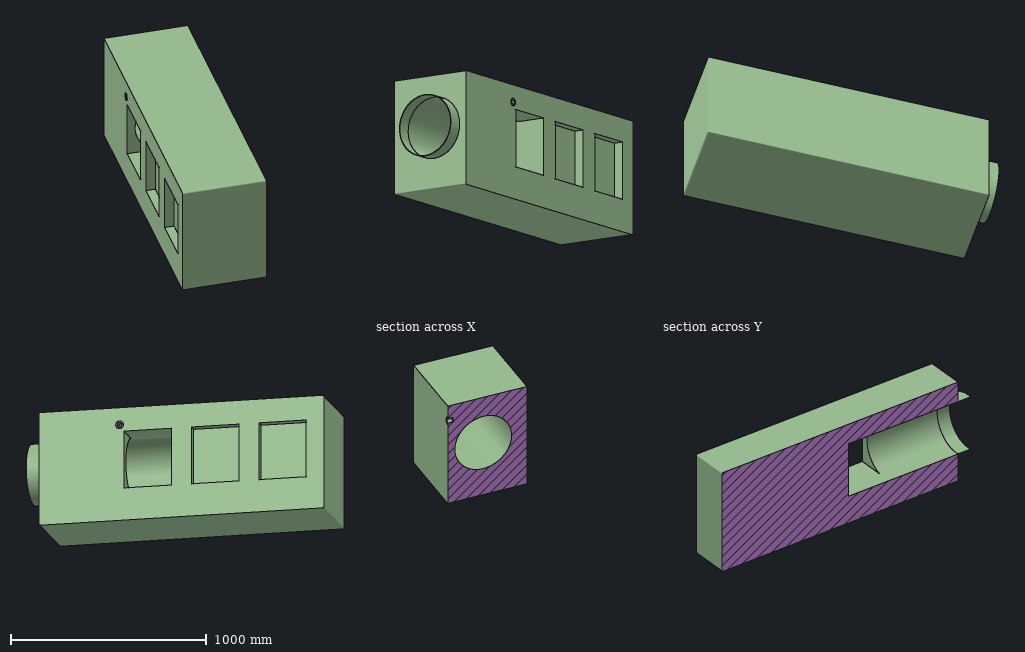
import cadquery as cq

case_length = 1500.0
case_depth = 448.0
case_height = 596.5
end_edge_radius = 8.0
case_edge_radius = 5.0

spigot_length = 78.0
duct_outer_diameter = 320.0
duct_wall = 2.0
duct_y = 200.0
duct_z = 320.0

window_width = 250.0
window_height = 300.0
window_pitch = 355.0
first_window_x = 447.0
pocket_count = 2
pocket_depth = 50.0

port_x = 424.0
port_z = 505.0
port_diameter = 40.0
port_recess_depth = 1.0
port_bore_diameter = 23.0
port_bore_depth = 30.0

bore_diameter = duct_outer_diameter - 2 * duct_wall
bore_end_x = first_window_x + window_width


def make_case():
    """Box with the front bottom-left corner at the origin."""
    box = cq.Workplane("XY").box(case_length, case_depth, case_height, centered=False)
    box = box.edges(">X and |Y").fillet(end_edge_radius)
    back_edges = box.faces(">Y").edges()
    duct_end_edges = box.faces("<X").edges("|Y")
    return back_edges.add(duct_end_edges).fillet(case_edge_radius)


def x_cylinder(diameter, start_x, end_x):
    """Cylinder on the duct axis between two X positions."""
    return (
        cq.Workplane("YZ", origin=(start_x, duct_y, duct_z))
        .circle(diameter / 2)
        .extrude(end_x - start_x)
    )


def front_opening(left_x, depth):
    """Rectangular cutter, level with the duct, going back from the front face."""
    cutter = cq.Workplane("XY").box(window_width, depth, window_height, centered=(False, False, True))
    return cutter.translate((left_x, 0, duct_z))


def port_cutter(diameter, depth):
    """Round cutter for the stepped hole, going back from the front face."""
    return cq.Workplane("XZ", origin=(port_x, 0, port_z)).circle(diameter / 2).extrude(-depth)


result = make_case()
result = result.union(x_cylinder(duct_outer_diameter, -spigot_length, 0))
result = result.cut(x_cylinder(bore_diameter, -spigot_length, bore_end_x))

result = result.cut(front_opening(first_window_x, duct_y))
for index in range(1, pocket_count + 1):
    result = result.cut(front_opening(first_window_x + index * window_pitch, pocket_depth))

result = result.cut(port_cutter(port_diameter, port_recess_depth))
result = result.cut(port_cutter(port_bore_diameter, port_bore_depth))